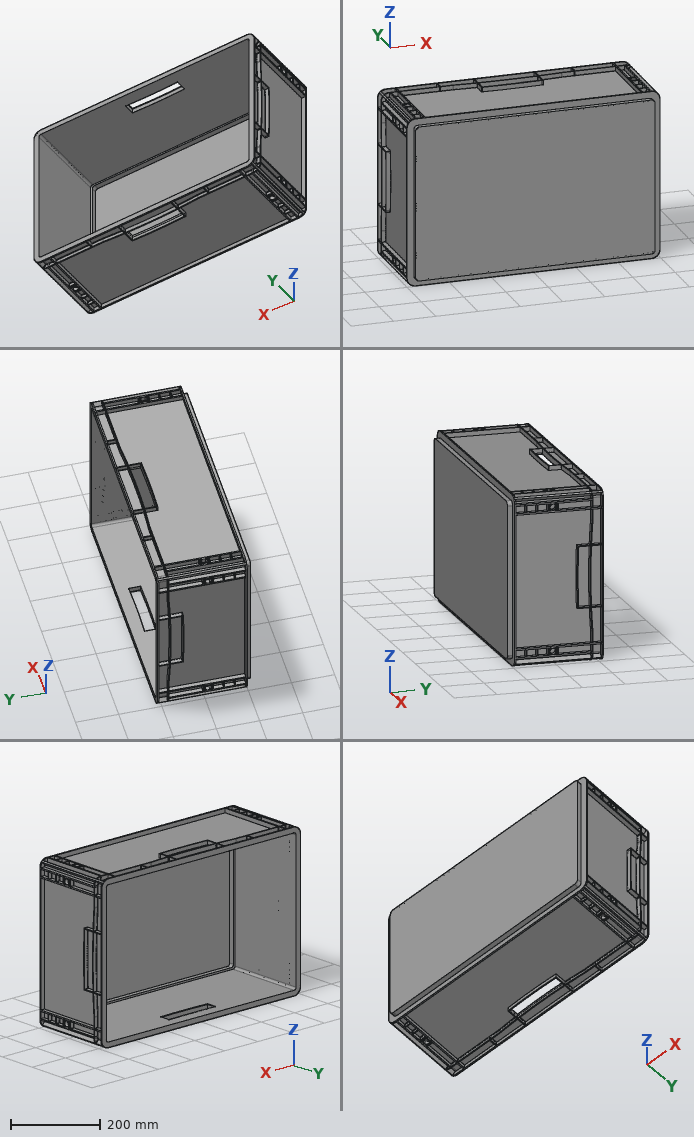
import cadquery as cq
import math

length = 598.0
depth = 220.0
width = 398.0

corner_radius = 20.0
wall_inset = 11.0
wall_thickness = 3.0
flange_thickness = 3.5
base_inset = 15.5
base_height = 12.0
base_corner_radius = 9.5

rib_thickness = 2.5
band_rib_top = 24.5
sag_half_span = 128.5
sag = 5.0
rim_post_offset = 159.0
corner_rib_thickness = 5.0

handle_half_width = 70.5
handle_height = 27.5

column_wall = 3.5
column_cell_width = 17.0
cell_height = 23.5
cell_wall = 2.5
square_cells = 3
tube_cell_height = 20.0
tube_outer_radius = 9.5
tube_inner_radius = 7.0

mouth_y = depth / 2
base_y = -depth / 2
foot_y = base_y + base_height
rim_y = mouth_y - flange_thickness
flange_y = foot_y + flange_thickness
band_top_y = mouth_y - band_rib_top
band_bottom_y = band_top_y - rib_thickness
rib_depth = wall_inset + wall_thickness / 2
column_width = column_cell_width + 2 * column_wall
sag_radius = (sag_half_span**2 + sag**2) / (2 * sag)


def plate(inset, radius, y_low, y_high):
    """Rounded plate parallel to XZ, set in from the outer sides by inset."""
    return (
        cq.Workplane("XZ", origin=(0, y_high, 0))
        .rect(length - 2 * inset, width - 2 * inset)
        .extrude(y_high - y_low)
        .edges("|Y")
        .fillet(radius)
    )


def block(x_low, x_high, y_low, y_high, z_low, z_high):
    return (
        cq.Workplane("XY", origin=(0, 0, z_low))
        .moveTo((x_low + x_high) / 2, (y_low + y_high) / 2)
        .rect(x_high - x_low, y_high - y_low)
        .extrude(z_high - z_low)
    )


def sag_drop(half_span):
    """How far a bow of the common radius drops over the given half span."""
    return sag_radius - math.sqrt(sag_radius**2 - half_span**2)


def bowed_block(half_span, y_low, y_high, z_low, z_high):
    """Block whose long edges bow toward the base; the heights are at midspan."""
    drop = sag_drop(half_span)
    return (
        cq.Workplane("XY", origin=(0, 0, z_low))
        .moveTo(-half_span, y_high + drop)
        .threePointArc((0, y_high), (half_span, y_high + drop))
        .lineTo(half_span, y_low + drop)
        .threePointArc((0, y_low), (-half_span, y_low + drop))
        .close()
        .extrude(z_high - z_low)
    )


def shell_outside():
    """Plain walls with the rim, the base flange and the stepped base."""
    wall_radius = corner_radius - wall_inset
    walls = plate(wall_inset, wall_radius, foot_y, mouth_y)
    rim = plate(0, corner_radius, rim_y, mouth_y)
    flange = plate(0, corner_radius, foot_y, flange_y)
    base = plate(base_inset, base_corner_radius, base_y, foot_y)
    return walls.union(rim).union(flange).union(base)


def cavity():
    inner_radius = corner_radius - wall_inset - wall_thickness
    body = plate(wall_inset + wall_thickness, inner_radius, flange_y, mouth_y)
    foot_inset = base_inset + wall_thickness
    foot_radius = base_corner_radius - wall_thickness
    return body.union(plate(foot_inset, foot_radius, base_y + wall_thickness, flange_y))


def band_corners():
    """Band rib all round, left open where the bowed stretches go."""
    band = plate(0, corner_radius, band_bottom_y, band_top_y)
    gap = sag_half_span
    for half_x, half_z in ((gap, width), (length, gap)):
        band = band.cut(block(-half_x, half_x, band_bottom_y, band_top_y, -half_z, half_z))
    return band


def corner_rib():
    """Diagonal rib on the corner at +X, +Z, reaching out to the rim radius."""
    centre_x = length / 2 - corner_radius
    centre_z = width / 2 - corner_radius
    height = mouth_y - foot_y
    return (
        cq.Workplane("XY")
        .box(corner_radius, height, corner_rib_thickness, centered=(False, False, True))
        .rotate((0, 0, 0), (0, 1, 0), -45)
        .translate((centre_x, foot_y, centre_z))
    )


def cell_column(outer_x, z_low, z_high):
    """Column of cells whose outer edge is at outer_x, running inward to smaller x."""
    cell_high = outer_x - column_wall
    cell_low = cell_high - column_cell_width
    inner_x = outer_x - column_width
    column = block(inner_x, outer_x, flange_y, band_bottom_y, z_low, z_high)
    cell_y = flange_y
    for _ in range(square_cells):
        column = column.cut(block(cell_low, cell_high, cell_y, cell_y + cell_height, z_low, z_high))
        cell_y += cell_height + cell_wall
    tube_top = cell_y + tube_cell_height
    column = column.cut(block(cell_low, cell_high, cell_y, tube_top, z_low, z_high))
    tube = (
        cq.Workplane("XY", origin=(0, 0, z_low))
        .moveTo((cell_low + cell_high) / 2, (cell_y + tube_top) / 2)
        .circle(tube_outer_radius)
        .circle(tube_inner_radius)
        .extrude(z_high - z_low)
    )
    column = column.union(tube)
    top_cell = block(cell_low, cell_high, tube_top + cell_wall, band_bottom_y, z_low, z_high)
    inner_post = block(inner_x, cell_low, band_bottom_y, rim_y, z_low, z_high)
    return column.cut(top_cell).union(inner_post)


def handle_opening(z_low, z_high):
    top = band_bottom_y - sag
    return bowed_block(handle_half_width, top - handle_height, top, z_low, z_high)


def side_ribs(half_length, outer_z, post_offsets):
    """Ribs of the side facing +Z: end columns, bowed band rib, handle frame and posts."""
    root_z = outer_z - rib_depth
    column = cell_column(half_length - corner_radius, root_z, outer_z)
    ribs = column.union(column.mirror("YZ"))

    band_low = band_bottom_y - sag
    ribs = ribs.union(bowed_block(sag_half_span, band_low, band_top_y - sag, root_z, outer_z))

    frame_half = handle_half_width + rib_thickness
    frame_low = band_low - handle_height - rib_thickness
    frame = bowed_block(frame_half, frame_low, band_low, root_z, outer_z)
    ribs = ribs.union(frame.cut(handle_opening(root_z, outer_z)))

    edge = handle_half_width + rib_thickness / 2
    posts = [(edge, band_top_y - sag)] + [(offset, band_top_y) for offset in post_offsets]
    for offset, low_y in posts:
        post = block(
            offset - rib_thickness / 2, offset + rib_thickness / 2, low_y, rim_y, root_z, outer_z
        )
        ribs = ribs.union(post).union(post.mirror("YZ"))
    return ribs


crate = shell_outside().union(band_corners())

rib = corner_rib()
for corner in (rib, rib.mirror("YZ"), rib.mirror("XY"), rib.mirror("YZ").mirror("XY")):
    crate = crate.union(corner)

long_side = side_ribs(length / 2, width / 2, [rim_post_offset])
crate = crate.union(long_side).union(long_side.mirror("XY"))

short_side = side_ribs(width / 2, length / 2, []).rotate((0, 0, 0), (0, 1, 0), 90)
crate = crate.union(short_side).union(short_side.mirror("YZ"))

crate = crate.cut(cavity())

result = crate.cut(handle_opening(-width / 2, width / 2))